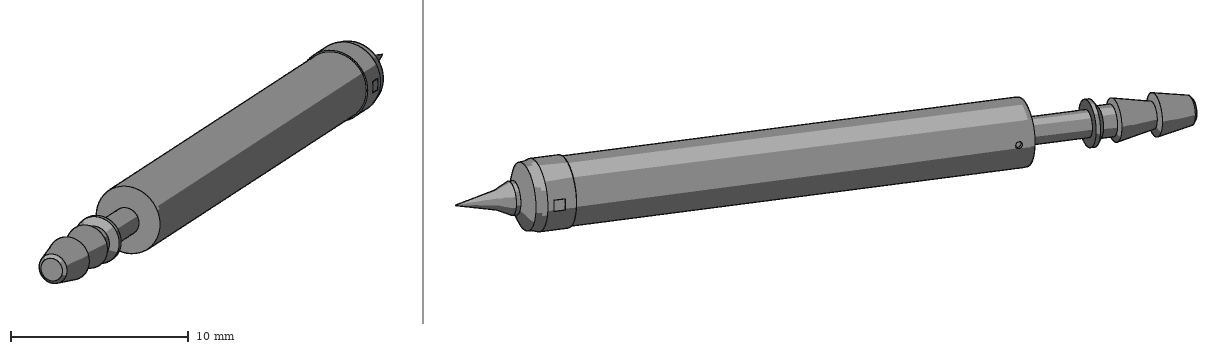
import cadquery as cq

TOTAL_LENGTH = 44.5

TAIL_FACE_RADIUS = 0.65
TAIL_END_RADIUS = 0.868
TAIL_CHAMFER_LENGTH = 0.2
BARB_RADIUS = 1.27
BARB_BACK_LENGTH = 0.15
REAR_BARB_Y = 2.3
FRONT_BARB_Y = 4.75
NECK_RADIUS = 0.95

FLANGE_RADIUS = 1.4
FLANGE_CONE_Y = 5.75
FLANGE_RIM_Y = 6.1
FLANGE_FACE_Y = 6.35
STEM_RADIUS = 0.8
STEM_TOP_Y = 10.0

BARREL_RADIUS = 2.0
BARREL_FACE_Y = 10.3
EDGE_TAPER_LENGTH = 0.25
EDGE_TAPER_DEPTH = 0.022

CAP_RADIUS = 2.1
CAP_REAR_Y = 38.0
CAP_FRONT_Y = 39.75
NOSE_REAR_Y = 40.0
NOSE_FRONT_Y = 40.4
NOSE_FRONT_RADIUS = 1.95

HUB_RADIUS = 1.0
HUB_REAR_Y = 40.95
HUB_FRONT_Y = 41.2
NEEDLE_BASE_RADIUS = 0.6
NEEDLE_BASE_Y = 42.05
NEEDLE_TIP_RADIUS = 0.022

LATCH_Y = 39.03
LATCH_SIDE = 0.65

SIDE_HOLE_Y = 11.25
SIDE_HOLE_DIAMETER = 0.4
SIDE_HOLE_DEPTH = 0.22


def turned_body():
    """Revolve the half outline, given as (radius, Y), about the Y axis."""
    hose_tail = [
        (0, 0),
        (TAIL_FACE_RADIUS, 0),
        (TAIL_END_RADIUS, TAIL_CHAMFER_LENGTH),
        (BARB_RADIUS, REAR_BARB_Y),
        (STEM_RADIUS, REAR_BARB_Y + BARB_BACK_LENGTH),
        (BARB_RADIUS, FRONT_BARB_Y),
        (NECK_RADIUS, FRONT_BARB_Y + BARB_BACK_LENGTH),
    ]
    flange_and_stem = [
        (NECK_RADIUS, FLANGE_CONE_Y),
        (FLANGE_RADIUS, FLANGE_RIM_Y),
        (FLANGE_RADIUS, FLANGE_FACE_Y),
        (STEM_RADIUS, FLANGE_FACE_Y),
        (STEM_RADIUS, STEM_TOP_Y),
    ]
    barrel = [
        (BARREL_RADIUS - EDGE_TAPER_DEPTH, BARREL_FACE_Y),
        (BARREL_RADIUS, BARREL_FACE_Y + EDGE_TAPER_LENGTH),
        (BARREL_RADIUS, CAP_REAR_Y),
    ]
    cap = [
        (CAP_RADIUS, CAP_REAR_Y),
        (CAP_RADIUS, CAP_FRONT_Y),
        (BARREL_RADIUS, NOSE_REAR_Y),
        (NOSE_FRONT_RADIUS, NOSE_FRONT_Y),
    ]
    needle = [
        (HUB_RADIUS, HUB_REAR_Y),
        (HUB_RADIUS, HUB_FRONT_Y),
        (NEEDLE_BASE_RADIUS, NEEDLE_BASE_Y),
        (NEEDLE_TIP_RADIUS, TOTAL_LENGTH),
        (0, TOTAL_LENGTH),
    ]
    outline = hose_tail + flange_and_stem + barrel + cap + needle
    return cq.Workplane("XY").polyline(outline).close().revolve(360, (0, 0), (0, 1))


def latches():
    """One square bar through the cap; its ends are the two flat latch faces."""
    return cq.Workplane("XY", origin=(0, LATCH_Y, 0)).box(2 * CAP_RADIUS, LATCH_SIDE, LATCH_SIDE)


def side_hole():
    return (
        cq.Workplane("YZ", origin=(-BARREL_RADIUS, SIDE_HOLE_Y, 0))
        .circle(SIDE_HOLE_DIAMETER / 2)
        .extrude(SIDE_HOLE_DEPTH)
    )


result = turned_body().union(latches()).cut(side_hole())